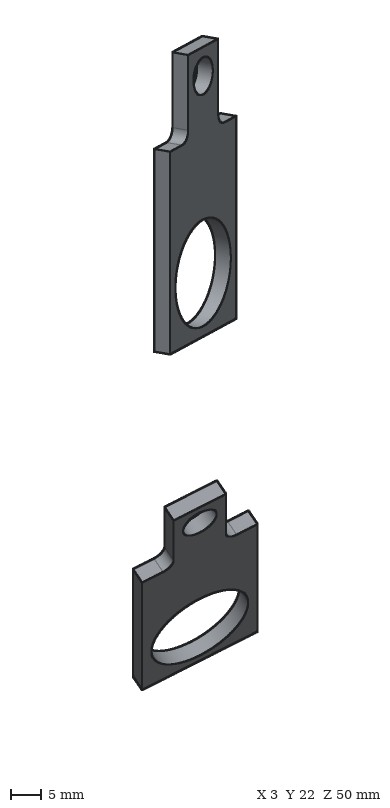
import cadquery as cq

thickness = 3.0
body_width = 22.0
total_height = 50.0
tab_width = 10.0
tab_height = 15.0
shoulder_radius = 2.0
small_hole_diameter = 6.4
large_hole_diameter = 18.4

shoulder_z = total_height - tab_height
small_hole_z = total_height - tab_width / 2
large_hole_z = body_width / 2


def plate(width, bottom_z, top_z):
    """Rectangular plate centred on X and Y between two heights."""
    height = top_z - bottom_z
    return cq.Workplane("XY").box(thickness, width, height).translate((0, 0, bottom_z + height / 2))


def through_hole(diameter, center_z):
    """Cylinder along X that cuts through the plate on its centre line."""
    return (
        cq.Workplane("YZ")
        .center(0, center_z)
        .circle(diameter / 2)
        .extrude(thickness, both=True)
    )


blank = plate(body_width, 0, shoulder_z).union(plate(tab_width, shoulder_z, total_height))

corner_reach = shoulder_radius / 2
corner_selector = cq.selectors.BoxSelector(
    (-thickness, -tab_width / 2 - corner_reach, shoulder_z - corner_reach),
    (thickness, tab_width / 2 + corner_reach, shoulder_z + corner_reach),
)
blank = blank.edges("|X").edges(corner_selector).fillet(shoulder_radius)

result = blank.cut(through_hole(small_hole_diameter, small_hole_z))
result = result.cut(through_hole(large_hole_diameter, large_hole_z))